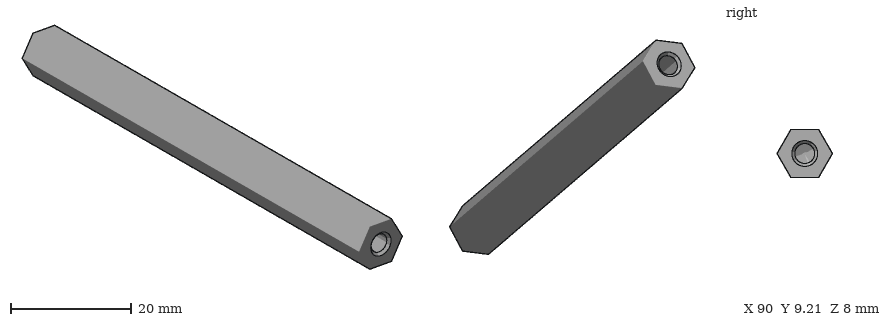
import cadquery as cq
import math

length = 90.0
across_flats = 8.0
edge_radius = 0.1

core_diameter = 3.3
countersink_diameter = 4.3
countersink_angle = 90.0
hole_depth = 15.0
drill_point_angle = 120.0


def cone_height(diameter, included_angle):
    """Height of a cone of the given base diameter and included angle in degrees."""
    return diameter / 2 / math.tan(math.radians(included_angle / 2))


def hexagonal_bar():
    """Bar along X, centred on the origin, with flats at +Z and -Z and every edge rounded."""
    across_corners = across_flats / math.cos(math.pi / 6)
    bar = cq.Workplane("YZ").polygon(6, across_corners).extrude(length / 2, both=True)
    return bar.edges().fillet(edge_radius)


def tapped_hole():
    """Cutter for the hole in the -X end: countersink, core hole and conical drill point."""
    core_radius = core_diameter / 2
    countersink_radius = countersink_diameter / 2
    end_face = -length / 2
    countersink_depth = cone_height(countersink_diameter - core_diameter, countersink_angle)
    core_end = end_face + hole_depth
    point_tip = core_end + cone_height(core_diameter, drill_point_angle)
    half_section = (
        cq.Workplane("XZ")
        .moveTo(end_face, 0)
        .lineTo(end_face, countersink_radius)
        .lineTo(end_face + countersink_depth, core_radius)
        .lineTo(core_end, core_radius)
        .lineTo(point_tip, 0)
        .close()
    )
    return half_section.revolve(360, (0, 0, 0), (1, 0, 0))


left_hole = tapped_hole()
right_hole = left_hole.mirror("YZ")

result = hexagonal_bar().cut(left_hole).cut(right_hole)